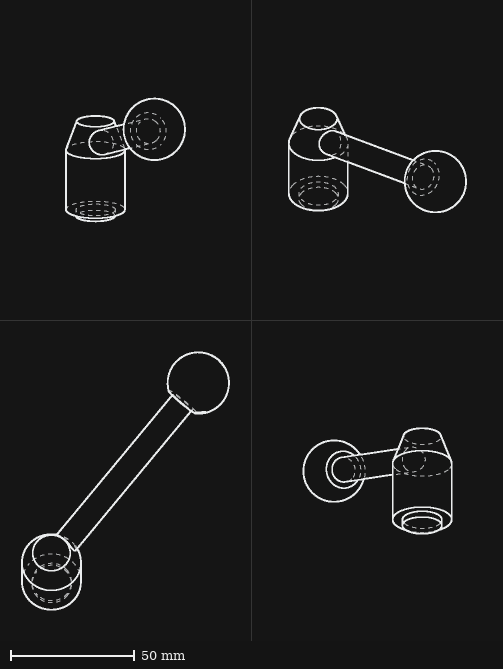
import cadquery as cq
import math

foot_diameter = 16.0
foot_height = 2.6
hub_diameter = 24.0
shoulder_height = 27.8
hub_top_diameter = 15.2
hub_height = 40.0

arm_diameter = 10.0
arm_angle = 20
knob_diameter = 25.0
knob_flat_diameter = 15.0
knob_height = 62.5

overall_length = 112.7
knob_reach = overall_length - (hub_diameter + knob_diameter) / 2
arm_slope = math.radians(arm_angle)
arm_length = knob_reach / math.cos(arm_slope)
arm_start_height = knob_height - knob_reach * math.tan(arm_slope)

arm_plane = cq.Plane(
    origin=(0, 0, arm_start_height),
    xDir=(0, 1, 0),
    normal=(math.cos(arm_slope), 0, math.sin(arm_slope)),
)


def make_hub():
    """Turned hub with a stepped foot and a tapered top."""
    profile = [
        (0, 0),
        (foot_diameter / 2, 0),
        (foot_diameter / 2, foot_height),
        (hub_diameter / 2, foot_height),
        (hub_diameter / 2, shoulder_height),
        (hub_top_diameter / 2, hub_height),
        (0, hub_height),
    ]
    return cq.Workplane("XZ").polyline(profile).close().revolve(360, (0, 0), (0, 1))


def make_arm():
    """Round rod from the hub axis to the knob centre."""
    return cq.Workplane(arm_plane).circle(arm_diameter / 2).extrude(arm_length)


def make_knob():
    """Ball with a flat facing the hub, square to the arm."""
    radius = knob_diameter / 2
    flat_distance = math.sqrt(radius**2 - (knob_flat_diameter / 2) ** 2)
    ball = cq.Workplane("XY").sphere(radius).translate((knob_reach, 0, knob_height))
    cutter = (
        cq.Workplane(arm_plane)
        .rect(knob_diameter, knob_diameter)
        .extrude(arm_length - flat_distance)
    )
    return ball.cut(cutter)


result = make_hub().union(make_arm()).union(make_knob())